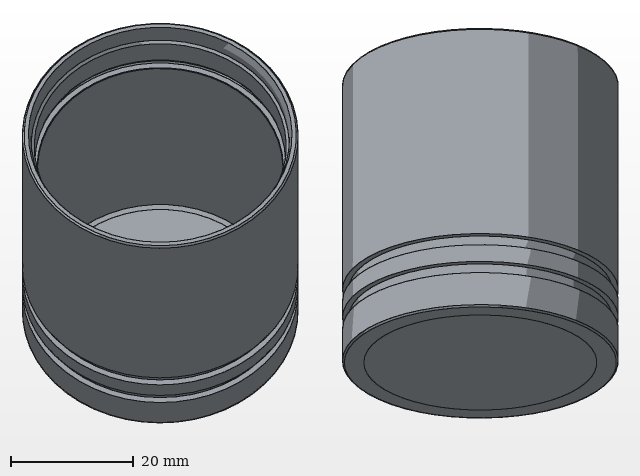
import cadquery as cq

height = 49.75
outer_radius = 22.5
edge_chamfer = 0.3

outer_groove_radius = 21.5
outer_groove_width = 2.0
outer_groove_bottoms = (6.0, 11.0)

rim_inner_radius = 21.5
mouth_radius = 21.05
seat_top_radius = 20.55
seat_bottom_radius = 20.45
lead_in_depth = 1.5
mouth_depth = 1.5
shoulder_depth = 0.3
seat_taper_depth = 4.45

undercut_radius = 21.3
undercut_depth = 1.7
corner_chamfer = 0.25
bore_chamfer = 0.1

bore_radius = 20.0
plug_radius = 19.0
floor_thickness = 2.0

lead_in_bottom = height - lead_in_depth
mouth_bottom = lead_in_bottom - mouth_depth
shoulder_bottom = mouth_bottom - shoulder_depth
taper_bottom = shoulder_bottom - seat_taper_depth
ledge_level = taper_bottom - undercut_depth


def make_outer_groove(bottom):
    """Ring of material removed for one outer groove."""
    return (
        cq.Workplane("XY")
        .workplane(offset=bottom)
        .circle(outer_radius)
        .circle(outer_groove_radius)
        .extrude(outer_groove_width)
    )


def make_cavity():
    """Revolved inside of the housing: plug hole, bore, undercut, tapered seat and mouth."""
    return (
        cq.Workplane("XZ")
        .lineTo(plug_radius, 0)
        .lineTo(plug_radius, floor_thickness)
        .lineTo(bore_radius, floor_thickness)
        .lineTo(bore_radius, ledge_level - bore_chamfer)
        .lineTo(bore_radius + bore_chamfer, ledge_level)
        .lineTo(undercut_radius - corner_chamfer, ledge_level)
        .lineTo(undercut_radius, ledge_level + corner_chamfer)
        .lineTo(undercut_radius, taper_bottom)
        .lineTo(seat_bottom_radius, taper_bottom)
        .lineTo(seat_top_radius, shoulder_bottom)
        .lineTo(mouth_radius, mouth_bottom)
        .lineTo(mouth_radius, lead_in_bottom)
        .lineTo(rim_inner_radius, height)
        .lineTo(0, height)
        .close()
        .revolve(360, (0, 0, 0), (0, 1, 0))
    )


def make_housing():
    """Sleeve with chamfered outer edges, two outer grooves and a bottom flange around the plug."""
    body = cq.Workplane("XY").circle(outer_radius).extrude(height)
    body = body.faces("<Z or >Z").edges().chamfer(edge_chamfer)
    for bottom in outer_groove_bottoms:
        body = body.cut(make_outer_groove(bottom))
    return body.cut(make_cavity())


def make_plug():
    """Disc that closes the bottom, flush with both faces of the flange."""
    return cq.Workplane("XY").circle(plug_radius).extrude(floor_thickness)


housing = make_housing()
plug = make_plug()

result = cq.Compound.makeCompound([housing.val(), plug.val()])